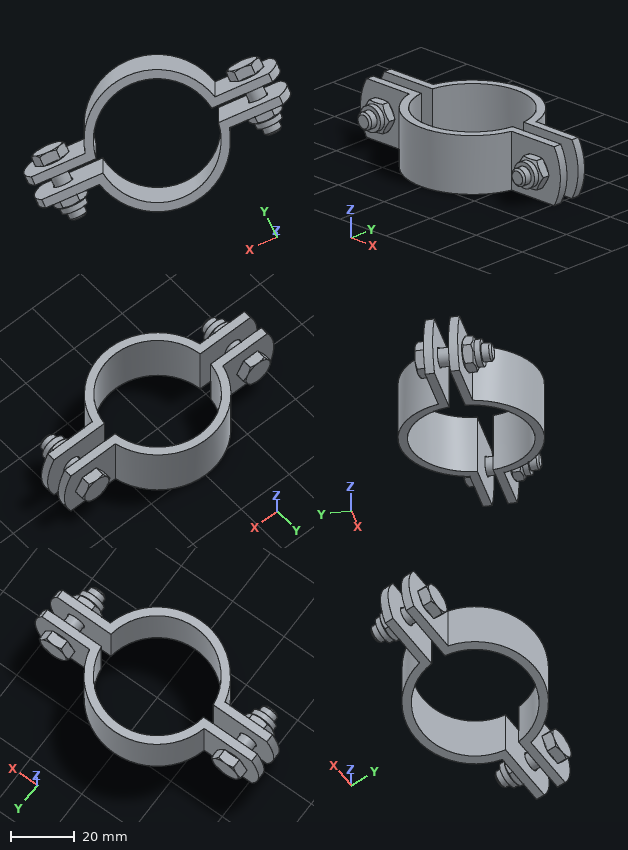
import cadquery as cq
import math

overall_length = 87.0
band_width = 20.0
inner_radius = 20.0
outer_diameter = 46.0
outer_radius = outer_diameter / 2
band_thickness = outer_radius - inner_radius
half_gap = 2.5
flange_face = half_gap + band_thickness
end_radius = 20.0
bolt_offset = 33.5
clearance_diameter = 6.5

shank_diameter = 6.0
tip_chamfer = 0.7
tip_distance = 14.6
across_flats = 10.0
head_hex_height = 3.65
washer_face_height = 0.35
washer_face_diameter = 8.7

nut_hex_height = 4.0
nut_height = 5.9
collar_diameter = 8.9

across_corners = across_flats / math.cos(math.radians(30))
hex_chamfer_angle = math.radians(30)
bolt_positions = (-bolt_offset, bolt_offset)


def cylinder_y(x, y_start, y_end, diameter):
    """Cylinder along Y between two Y positions, at mid width."""
    plane = cq.Workplane("XZ", origin=(x, y_start, 0))
    return plane.circle(diameter / 2).extrude(y_start - y_end)


def chamfer_cone(x, y_end, direction, face_diameter):
    """Cone that trims the hexagon corners at its end face; direction points out of that face."""
    face_radius = face_diameter / 2
    depth = across_flats
    base_radius = face_radius + depth / math.tan(hex_chamfer_angle)
    return cq.Workplane(cq.Solid.makeCone(
        face_radius, base_radius, depth,
        pnt=cq.Vector(x, y_end, 0), dir=cq.Vector(0, -direction, 0),
    ))


def hexagon_y(x, y_low, y_high):
    """Hexagonal prism along Y with two corners pointing along X."""
    plane = cq.Workplane("XZ", origin=(x, y_high, 0))
    return plane.polygon(6, across_corners).extrude(y_high - y_low)


def make_upper_half():
    """Half band with two flanges, on the +Y side."""
    ring = cq.Workplane("XY").circle(outer_radius).extrude(band_width / 2, both=True)
    flanges = (
        cq.Workplane("XY")
        .box(overall_length, band_thickness, band_width)
        .translate((0, half_gap + band_thickness / 2, 0))
    )
    arc_inset = end_radius - math.sqrt(end_radius**2 - (band_width / 2) ** 2)
    tip_x = overall_length / 2
    corner_x = tip_x - arc_inset
    corner_z = band_width / 2
    end_outline = (
        cq.Workplane("XZ")
        .moveTo(-corner_x, -corner_z)
        .lineTo(corner_x, -corner_z)
        .threePointArc((tip_x, 0), (corner_x, corner_z))
        .lineTo(-corner_x, corner_z)
        .threePointArc((-tip_x, 0), (-corner_x, -corner_z))
        .close()
        .extrude(-flange_face)
    )
    keep = (
        cq.Workplane("XY")
        .box(overall_length, outer_radius, band_width)
        .translate((0, half_gap + outer_radius / 2, 0))
    )
    bore = cq.Workplane("XY").circle(inner_radius).extrude(band_width / 2, both=True)
    half = ring.intersect(keep).union(flanges.intersect(end_outline)).cut(bore)
    for x in bolt_positions:
        half = half.cut(cylinder_y(x, half_gap, flange_face, clearance_diameter))
    return half


def make_bolt(x):
    """Hexagon-head bolt whose head rests on the +Y flange."""
    hex_low = flange_face + washer_face_height
    hex_high = hex_low + head_hex_height
    head = hexagon_y(x, hex_low, hex_high).intersect(chamfer_cone(x, hex_high, 1, across_flats))
    washer_face = cylinder_y(x, flange_face, hex_low, washer_face_diameter)
    shank = (
        cylinder_y(x, -tip_distance, hex_low, shank_diameter)
        .faces("<Y")
        .edges()
        .chamfer(tip_chamfer)
    )
    return head.union(washer_face).union(shank)


def make_nut(x):
    """Hexagon nut with a round collar, resting on the -Y flange."""
    hex_low = -flange_face - nut_hex_height
    nut_end = -flange_face - nut_height
    body = (
        hexagon_y(x, hex_low, -flange_face)
        .intersect(chamfer_cone(x, hex_low, -1, collar_diameter))
        .intersect(chamfer_cone(x, -flange_face, 1, collar_diameter))
    )
    collar = cylinder_y(x, nut_end, hex_low, collar_diameter)
    bore = cylinder_y(x, nut_end, -flange_face, shank_diameter)
    return body.union(collar).cut(bore)


upper_half = make_upper_half()
lower_half = upper_half.mirror("XZ")
bolts = [make_bolt(x).val() for x in bolt_positions]
nuts = [make_nut(x).val() for x in bolt_positions]

result = cq.Compound.makeCompound([upper_half.val(), lower_half.val(), *bolts, *nuts])